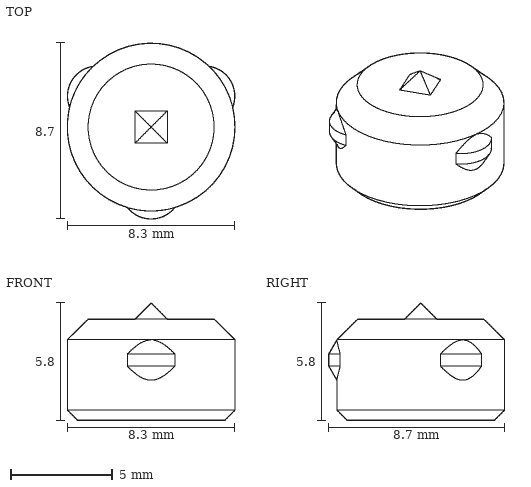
import cadquery as cq
import math

body_radius = 4.15
body_height = 5.0
top_chamfer_width = 1.035
top_chamfer_height = 1.02
bottom_chamfer = 0.505
shoulder_height = body_height - top_chamfer_height

pyramid_height = 0.8
pyramid_base = 2 * pyramid_height

lug_angles = (30, 150, 270)
lug_radius = 1.5
lug_projection = 0.4
lug_band_height = 0.6
lug_flank_angle = 60
lug_embedding = 0.01
lug_flank_width = lug_projection + lug_embedding
lug_axis_radius = body_radius + lug_projection - lug_radius
lug_flank_height = lug_flank_width * math.tan(math.radians(lug_flank_angle))
lug_height = lug_band_height + 2 * lug_flank_height
lug_bottom = shoulder_height - lug_height


def revolve_profile(profile):
    return cq.Workplane("XZ").polyline(profile).close().revolve(360, (0, 0, 0), (0, 1, 0))


def make_body():
    top_radius = body_radius - top_chamfer_width
    bottom_radius = body_radius - bottom_chamfer
    profile = [
        (0, 0),
        (bottom_radius, 0),
        (body_radius, bottom_chamfer),
        (body_radius, shoulder_height),
        (top_radius, body_height),
        (0, body_height),
    ]
    return revolve_profile(profile)


def make_pyramid():
    half_base = pyramid_base / 2
    profile = [(-half_base, 0), (half_base, 0), (0, pyramid_height)]
    wedge_along_y = cq.Workplane("XZ").polyline(profile).close().extrude(half_base, both=True)
    wedge_along_x = cq.Workplane("YZ").polyline(profile).close().extrude(half_base, both=True)
    return wedge_along_y.intersect(wedge_along_x).translate((0, 0, body_height))


def make_lug(angle):
    end_radius = lug_radius - lug_flank_width
    profile = [
        (0, 0),
        (end_radius, 0),
        (lug_radius, lug_flank_height),
        (lug_radius, lug_flank_height + lug_band_height),
        (end_radius, lug_height),
        (0, lug_height),
    ]
    lug = revolve_profile(profile)
    return lug.translate((lug_axis_radius, 0, lug_bottom)).rotate((0, 0, 0), (0, 0, 1), angle)


result = make_body().union(make_pyramid())
for lug_angle in lug_angles:
    result = result.union(make_lug(lug_angle))